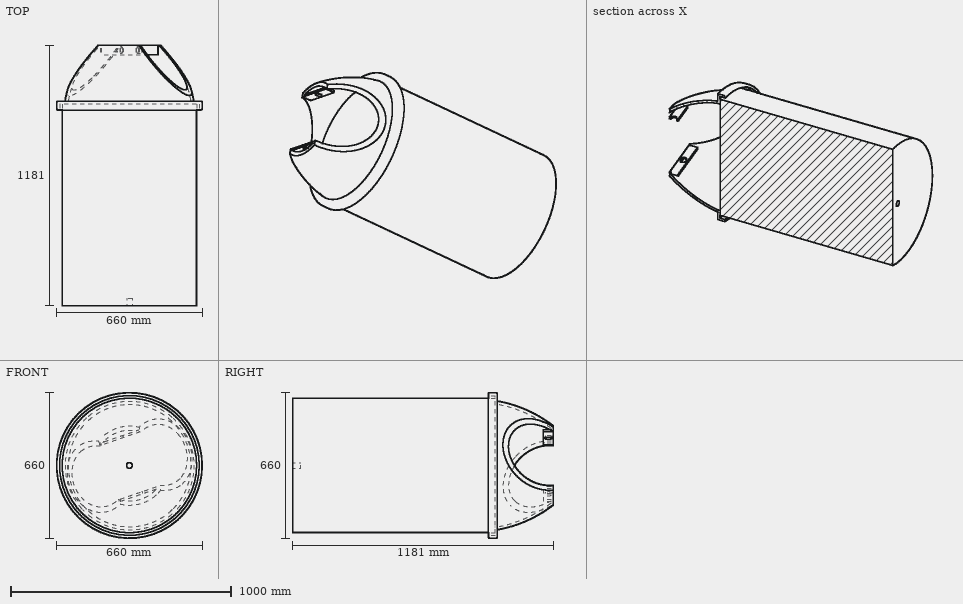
import cadquery as cq

total_length = 1181.0

can_radius = 305.0
socket_radius = 13.0
socket_depth = 35.0

dome_height = 250.0
dome_top_radius = 180.0
dome_base_radius = 292.0
dome_base_band = 4.0
dome_mid_radius = 236.0
dome_mid_drop = 89.0
shell_across = 19.0
shell_base = 14.0
collar_diameter = 660.0
collar_outer_radius = collar_diameter / 2
collar_inner_radius = 317.0
collar_height = 40.0
collar_top_thickness = 12.0
collar_edge_round = 6.0

opening_turn = 19.0
opening_top_offset = 97.0
opening_low_offset = 286.0
opening_depth = 227.0

plate_inner_offset = 130.0
plate_thickness = 10.0
plate_half_length = 91.0
plate_depth = 45.0
plate_hole_radius = 15.0

dome_base = total_length - dome_height
collar_top = dome_base - dome_base_band
collar_bottom = collar_top - collar_height
can_top = collar_top - collar_top_thickness


def y_cylinder(radius, start, end):
    """Solid cylinder on the Y axis from y = start to y = end."""
    return cq.Workplane("XZ", origin=(0, start, 0)).circle(radius).extrude(start - end)


def dome(top_inset, mid_inset, base_inset):
    """Solid of revolution under the dome's arc, moved inwards by the given insets."""
    return (
        cq.Workplane("XY")
        .moveTo(0, collar_top)
        .lineTo(dome_base_radius - base_inset, collar_top)
        .lineTo(dome_base_radius - base_inset, dome_base)
        .threePointArc(
            (dome_mid_radius - mid_inset, total_length - dome_mid_drop),
            (dome_top_radius - top_inset, total_length),
        )
        .lineTo(0, total_length)
        .close()
        .revolve(360, (0, 0, 0), (0, 1, 0))
    )


def make_can():
    can = y_cylinder(can_radius, 0, can_top)
    floor_socket = y_cylinder(socket_radius, 0, socket_depth)
    return can.cut(floor_socket)


def make_collar():
    collar = y_cylinder(collar_outer_radius, collar_bottom, collar_top).edges().fillet(collar_edge_round)
    skirt_bore = y_cylinder(collar_inner_radius, collar_bottom, can_top)
    mouth = y_cylinder(dome_base_radius - shell_base, can_top, collar_top)
    return collar.cut(skirt_bore).cut(mouth)


def opening_cutter():
    """Wedge outside the sloping plane of one opening, on the +X side."""
    margin = 12.0
    slope = (opening_low_offset - opening_top_offset) / opening_depth
    high = total_length + margin
    return (
        cq.Workplane("XY")
        .moveTo(opening_top_offset - slope * margin, high)
        .lineTo(opening_top_offset + slope * dome_height, dome_base)
        .lineTo(2 * dome_base_radius, dome_base)
        .lineTo(2 * dome_base_radius, high)
        .close()
        .extrude(dome_base_radius, both=True)
    )


def make_plate():
    """Drilled plate on the +Z side."""
    middle_y = total_length - plate_depth / 2
    plate = cq.Workplane("XY").box(2 * plate_half_length, plate_depth, plate_thickness)
    hole = cq.Workplane("XY").circle(plate_hole_radius).extrude(plate_thickness, both=True)
    return plate.cut(hole).translate((0, middle_y, plate_inner_offset + plate_thickness / 2))


def make_hood():
    mid_inset = (shell_across + shell_base) / 2
    shell = dome(0, 0, 0).cut(dome(shell_across, mid_inset, shell_base))
    plates = []
    for half_turn in (0, 180):
        shell = shell.cut(opening_cutter().rotate((0, 0, 0), (0, 1, 0), half_turn))
        plates.append(make_plate().rotate((0, 0, 0), (0, 1, 0), half_turn))
    for plate in plates:
        shell = shell.union(plate)
    shell = shell.rotate((0, 0, 0), (0, 1, 0), -opening_turn)
    return make_collar().union(shell)


can = make_can()
hood = make_hood()
result = cq.Compound.makeCompound([can.val(), hood.val()])